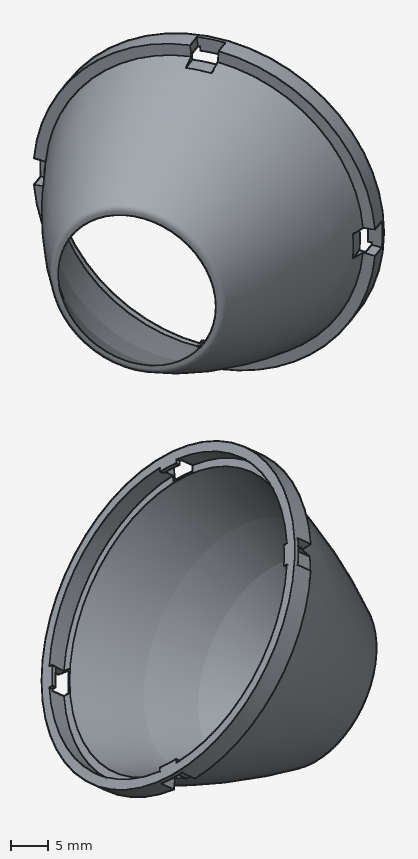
import cadquery as cq
import math

height = 27.0
rim_radius = 25.0
rim_height = 3.05
rim_front = height - rim_height

small_radius = 12.85
middle_radius = 18.8
large_radius = 23.25
nose_height = 0.5
nose_radius = 0.9
nose_end_radius = 12.05

mouth_radius = 11.5
first_cone_radius = 15.55
first_cone_height = 6.85
second_cone_radius = 18.65
second_cone_height = 14.0
third_cone_radius = 22.3

seat_radius = 23.5
seat_depth = 2.7
seat_floor = height - seat_depth

window_count = 4
window_half_angle = 4.75
window_floor_radius = 22.6
window_front = 20.0
lip_thickness = 0.65
window_back = height - lip_thickness
tab_half_angle = 4.0
tab_radius = 22.9


def turned(profile):
    """Revolve a closed (radius, Y) profile around the Y axis."""
    return profile.close().revolve(360, (0, 0, 0), (0, 1, 0))


def ring_sector(inner_radius, outer_radius, half_angle, y_start, y_end):
    """Block of a ring centred on +X, bounded by two radial sides."""
    angle = math.radians(half_angle)
    cosine = math.cos(angle)
    sine = math.sin(angle)
    return (
        cq.Workplane("XZ", origin=(0, y_start, 0))
        .moveTo(inner_radius * cosine, -inner_radius * sine)
        .lineTo(outer_radius * cosine, -outer_radius * sine)
        .threePointArc((outer_radius, 0), (outer_radius * cosine, outer_radius * sine))
        .lineTo(inner_radius * cosine, inner_radius * sine)
        .threePointArc((inner_radius, 0), (inner_radius * cosine, -inner_radius * sine))
        .close()
        .extrude(y_start - y_end)
    )


def around_axis(shape, index):
    """Turn a shape to one of the equally spaced window positions."""
    return shape.rotate((0, 0, 0), (0, 1, 0), index * 360 / window_count)


outer = turned(
    cq.Workplane("XY")
    .lineTo(nose_end_radius, 0)
    .radiusArc((small_radius, nose_height), -nose_radius)
    .threePointArc((middle_radius, rim_front / 2), (large_radius, rim_front))
    .lineTo(rim_radius, rim_front)
    .lineTo(rim_radius, height)
    .lineTo(0, height)
)

inner = turned(
    cq.Workplane("XY")
    .lineTo(mouth_radius, 0)
    .lineTo(first_cone_radius, first_cone_height)
    .lineTo(second_cone_radius, second_cone_height)
    .lineTo(third_cone_radius, seat_floor)
    .lineTo(seat_radius, seat_floor)
    .lineTo(seat_radius, height)
    .lineTo(0, height)
)
result = outer.cut(inner)

cut_clearance = 0.5
window_outer_radius = rim_radius + cut_clearance
window = ring_sector(window_floor_radius, window_outer_radius, window_half_angle, window_front, window_back)
tab_root_radius = (seat_radius + rim_radius) / 2
tab = ring_sector(tab_radius, tab_root_radius, tab_half_angle, window_back, height)
for index in range(window_count):
    result = result.cut(around_axis(window, index))
    result = result.union(around_axis(tab, index))